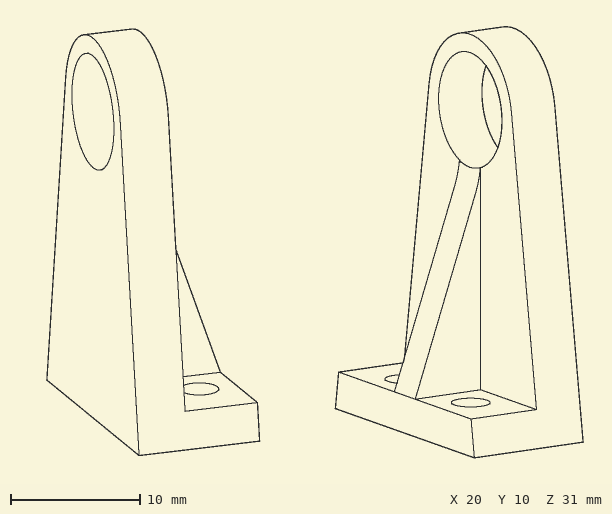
import cadquery as cq
import math

width = 20.0
depth = 10.0
height = 30.98

plate_thickness = 4.0
eye_radius = 6.0
bore_diameter = 9.1
eye_z = height - eye_radius

foot_thickness = 3.0
screw_hole_diameter = 3.0
screw_hole_spacing = 9.55
screw_hole_y = (plate_thickness + depth) / 2

rib_width = 3.0
rib_apex_z = 20.0
rib_blend_radius = 8.0

half_width = width / 2
corner_distance = math.hypot(half_width, eye_z)
tangent_angle = math.acos(eye_radius / corner_distance) - math.atan2(eye_z, half_width)
tangent_x = eye_radius * math.cos(tangent_angle)
tangent_z = eye_z + eye_radius * math.sin(tangent_angle)


def extrude_outline(thickness):
    """Tapered outline with a round top, from the front face towards +Y."""
    return (
        cq.Workplane("XZ")
        .moveTo(-half_width, 0)
        .lineTo(half_width, 0)
        .lineTo(tangent_x, tangent_z)
        .threePointArc((0, height), (-tangent_x, tangent_z))
        .close()
        .extrude(-thickness)
    )


def make_foot():
    """Bottom slice of the full-depth outline, with two screw holes behind the plate."""
    slice_box = cq.Workplane("XY").box(width, depth, foot_thickness, centered=(True, False, False))
    holes = (
        cq.Workplane("XY")
        .pushPoints([(side * screw_hole_spacing / 2, screw_hole_y) for side in (-1, 1)])
        .circle(screw_hole_diameter / 2)
        .extrude(foot_thickness)
    )
    return extrude_outline(depth).intersect(slice_box).cut(holes)


def make_rib():
    """Central triangular rib, blended into the plate by a tangent arc."""
    rib_run = depth - plate_thickness
    rib_rise = rib_apex_z - foot_thickness
    lean = math.atan2(rib_run, rib_rise)
    blend_length = rib_blend_radius * math.tan(lean / 2)
    blend_start = (
        plate_thickness + blend_length * math.sin(lean),
        rib_apex_z - blend_length * math.cos(lean),
    )
    blend_end = (plate_thickness, rib_apex_z + blend_length)
    blend_middle = (
        plate_thickness + rib_blend_radius * (1 - math.cos(lean / 2)),
        blend_end[1] - rib_blend_radius * math.sin(lean / 2),
    )
    return (
        cq.Workplane("YZ")
        .moveTo(plate_thickness, foot_thickness)
        .lineTo(depth, foot_thickness)
        .lineTo(*blend_start)
        .threePointArc(blend_middle, blend_end)
        .close()
        .extrude(rib_width / 2, both=True)
    )


def make_bore():
    """Through bore concentric with the rounded top."""
    return (
        cq.Workplane("XZ")
        .center(0, eye_z)
        .circle(bore_diameter / 2)
        .extrude(-depth)
    )


result = extrude_outline(plate_thickness).union(make_foot()).union(make_rib()).cut(make_bore())